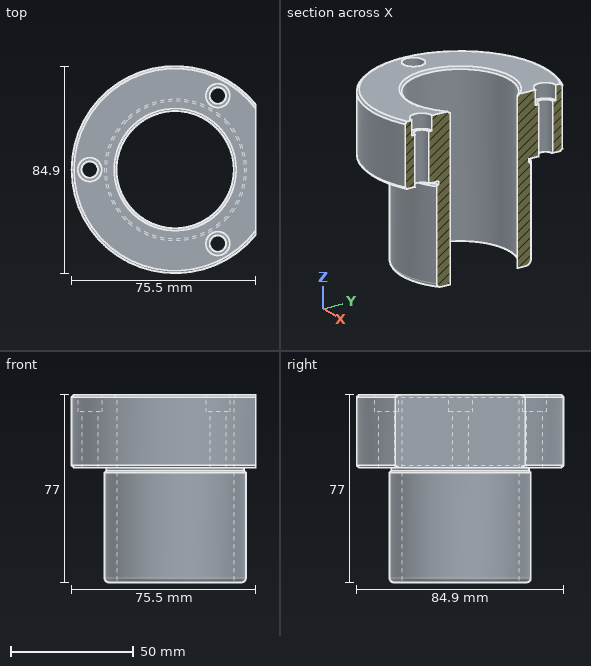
import cadquery as cq

flange_diameter = 84.9
total_height = 77.0
flange_thickness = 30.0
flat_offset = 33.0
flange_chamfer = 1.0

sleeve_diameter = 58.1
sleeve_end_radius = 2.0
neck_diameter = 56.5
neck_height = 1.3

bore_diameter = 47.95
bore_chamfer = 1.0

hole_count = 3
hole_circle_radius = 35.0
hole_diameter = 6.6
counterbore_diameter = 9.8
counterbore_depth = 6.8
first_hole_angle = 60.0

sleeve_length = total_height - flange_thickness


def make_sleeve():
    """Sleeve with a rounded lower edge and a chamfer leading up to the relief neck."""
    shoulder_chamfer = (sleeve_diameter - neck_diameter) / 2
    sleeve = cq.Workplane("XY").circle(sleeve_diameter / 2).extrude(sleeve_length - neck_height)
    sleeve = sleeve.faces("<Z").edges().fillet(sleeve_end_radius)
    sleeve = sleeve.faces(">Z").edges().chamfer(shoulder_chamfer)
    return sleeve.faces(">Z").workplane().circle(neck_diameter / 2).extrude(neck_height)


def make_flange():
    """Chamfered disc, cut flat on its +X side after chamfering."""
    disc = (
        cq.Workplane("XY")
        .workplane(offset=sleeve_length)
        .circle(flange_diameter / 2)
        .extrude(flange_thickness)
        .faces("<Z or >Z")
        .edges()
        .chamfer(flange_chamfer)
    )
    beyond_flat = cq.Workplane("XY").box(
        flange_diameter, flange_diameter, total_height, centered=(False, True, False)
    )
    return disc.cut(beyond_flat.translate((flat_offset, 0, 0)))


def cut_bore(body):
    """Through bore with a chamfered mouth at the top."""
    bore = cq.Workplane("XY").circle(bore_diameter / 2).extrude(total_height)
    mouth = (
        cq.Workplane("XY")
        .workplane(offset=total_height)
        .circle(bore_diameter / 2 + bore_chamfer)
        .workplane(offset=-bore_chamfer)
        .circle(bore_diameter / 2)
        .loft()
    )
    return body.cut(bore).cut(mouth)


def cut_screw_holes(body):
    """Evenly spaced screw holes, counterbored from the top of the flange."""
    return (
        body.faces(">Z")
        .workplane(origin=(0, 0, total_height))
        .polarArray(hole_circle_radius, first_hole_angle, 360, hole_count)
        .cboreHole(hole_diameter, counterbore_diameter, counterbore_depth)
    )


result = cut_screw_holes(cut_bore(make_sleeve().union(make_flange())))